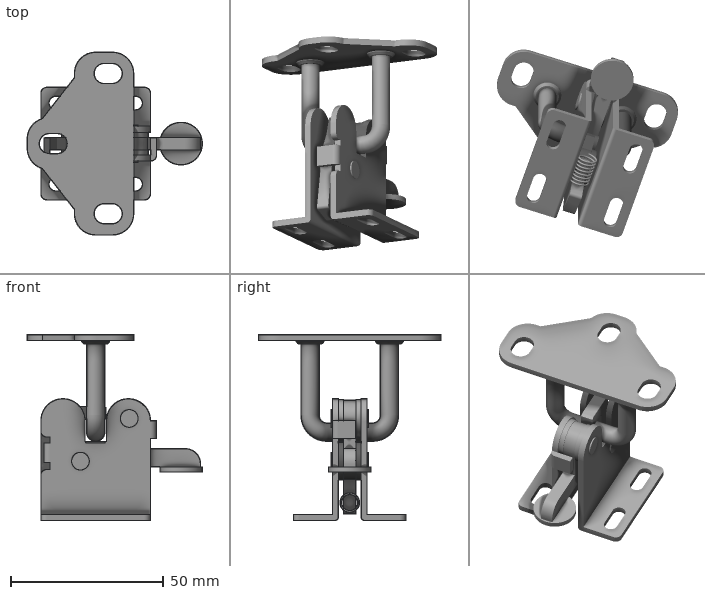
import cadquery as cq
import math


sheet = 2.0
bracket_length = 36.0
bracket_height = 40.0
wall_outer_y = 5.7
wall_inner_y = wall_outer_y - sheet
foot_outer_y = 18.5
foot_corner_radius = 2.0
bend_radius = 1.2
rod_slot_width = 7.0
rod_slot_floor_z = 25.5
rod_slot_chamfer = 0.5
half_length = bracket_length / 2
lobe_radius = (bracket_length - rod_slot_width) / 4
lobe_center_x = half_length - lobe_radius
foot_slot_length = 10.6
foot_slot_width = 4.4
foot_slot_x = 10.0
foot_slot_y = 13.3

tab_tip_y = 1.85
left_tab_outer_x = -17.0
left_tab_bottom_z = 19.0
left_tab_height = 6.5
right_tab_bottom_z = 26.9
right_tab_height = 5.85
tab_bend_share = 0.95
notch_depth = 3.0
notch_bottom_z = 16.8
notch_top_z = 27.4
notch_lip_radius = 2.0

hook_pivot = (-5.0, 19.5)
lever_pivot = (11.0, 33.5)
pin_radius = 2.9
pin_end_y = 6.15
collar_radius = 6.25
hub_radius = 6.0
blade_thickness = 4.1

hook_top_z = 37.5
hook_tip_x = 3.4
hook_tip_bevel_length = 1.0
hook_tip_bevel_drop = 0.45
hook_corner_radius = 1.0
throat_back_x = -3.6
throat_top_z = 33.35
throat_bottom_z = 25.95
throat_radius = 0.8
jaw_tip_x = 4.5
jaw_tip_height = 3.0
hook_heel = (-5.0, 14.0)
tail_inner = (-9.0, 1.9)
tail_outer = (-16.75, 4.7)
hook_back_low = (-12.6, 26.2)
hook_back_high = (-9.8, 31.4)
hook_top_back_x = -7.9

neck_left_x = 7.3
neck_right_x = 17.0
arm_bottom_z = 17.6
arm_top_z = 23.6
arm_end_x = 34.4
arm_end_radius = 5.0
thumb_disc_x = 28.0
thumb_disc_radius = 7.0
thumb_disc_thickness = 1.7

striker_top_z = 61.0
striker_plate_bottom_z = striker_top_z - sheet
striker_right_x = 12.5
striker_left_x = -22.5
striker_half_width = 30.0
striker_corner_radius = 7.0
ear_left_x = -7.0
ear_edge_y = 21.6
nose_half_flat = 1.5
flank_end_x = -17.5
striker_slot_length = 9.15
striker_slot_width = 6.5
ear_slot_x = 4.1
ear_slot_y = 23.0
nose_slot_x = -13.9
rod_radius = 3.0
rod_y = 13.0
rod_bottom_z = 29.0
rod_bend_radius = 5.5
weld_radius = 4.6
weld_height = 1.1
weld_bevel = 0.8

spring_outer_radius = 3.2
spring_wire_radius = 0.3
spring_pitch = 1.2
spring_coils = 8
spring_start_x = -6.0
spring_z = 5.9


def extrude_y(profile, y_low, y_high):
    """Extrude an XZ profile from y_low to y_high."""
    return profile.extrude(y_low - y_high).translate((0, y_low, 0))


def disc_y(center, radius, y_low, y_high):
    """Round disc about a Y axis through the given (x, z) center."""
    return extrude_y(cq.Workplane("XZ").center(*center).circle(radius), y_low, y_high)


def box_between(low, high):
    """Box from its low corner to its high corner."""
    size = [b - a for a, b in zip(low, high)]
    return cq.Workplane("XY").box(*size, centered=False).translate(low)


def round_edge(body, point, radius):
    """Fillet the single edge nearest to a point."""
    return body.edges(cq.selectors.NearestToPointSelector(point)).fillet(radius)


def bracket_wall():
    """Upright wall on the -Y side with two round lobes and the rod slot."""
    lobe_center_z = bracket_height - lobe_radius
    slot_half = rod_slot_width / 2
    profile = (
        cq.Workplane("XZ")
        .moveTo(-half_length, 0)
        .lineTo(-half_length, lobe_center_z)
        .threePointArc((-lobe_center_x, bracket_height), (-slot_half, lobe_center_z))
        .lineTo(-slot_half, rod_slot_floor_z + rod_slot_chamfer)
        .lineTo(-slot_half + rod_slot_chamfer, rod_slot_floor_z)
        .lineTo(slot_half - rod_slot_chamfer, rod_slot_floor_z)
        .lineTo(slot_half, rod_slot_floor_z + rod_slot_chamfer)
        .lineTo(slot_half, lobe_center_z)
        .threePointArc((lobe_center_x, bracket_height), (half_length, lobe_center_z))
        .lineTo(half_length, 0)
        .close()
    )
    return extrude_y(profile, -wall_outer_y, -wall_inner_y)


def bracket_foot():
    """Flat foot on the -Y side with two mounting slots."""
    foot = box_between((-half_length, -foot_outer_y, 0), (half_length, -wall_inner_y, sheet))
    foot = foot.edges("|Z and <Y").fillet(foot_corner_radius)
    slots = (
        cq.Workplane("XY")
        .pushPoints([(-foot_slot_x, -foot_slot_y), (foot_slot_x, -foot_slot_y)])
        .slot2D(foot_slot_length, foot_slot_width)
        .extrude(sheet)
    )
    return foot.cut(slots)


def bracket_plate():
    """Plain bent plate on the -Y side, drilled for both pivots."""
    plate = bracket_wall().union(bracket_foot())
    plate = round_edge(plate, (0, -wall_inner_y, 0), bend_radius)
    for pivot in (hook_pivot, lever_pivot):
        plate = plate.cut(disc_y(pivot, pin_radius, -wall_outer_y, -wall_inner_y))
    return plate


def tab_notch():
    """Notch in the left edge of the wall, around the root of the left tab."""
    root_x = -half_length + notch_depth
    lip = notch_lip_radius
    lip_mid = lip * (1 - math.sqrt(0.5))
    profile = (
        cq.Workplane("XZ")
        .moveTo(-half_length, notch_bottom_z - lip)
        .threePointArc(
            (-half_length + lip_mid, notch_bottom_z - lip_mid),
            (-half_length + lip, notch_bottom_z),
        )
        .lineTo(root_x, notch_bottom_z)
        .lineTo(root_x, notch_top_z)
        .lineTo(-half_length + lip, notch_top_z)
        .threePointArc(
            (-half_length + lip_mid, notch_top_z + lip_mid),
            (-half_length, notch_top_z + lip),
        )
        .close()
    )
    return extrude_y(profile, -wall_outer_y, -wall_inner_y)


def stop_tab(outer_x, root_x, bottom_z, height):
    """Tab bent from the wall edge at root_x toward +Y, rounded outside the bend."""
    low_x, high_x = sorted((outer_x, root_x))
    tab = box_between((low_x, -wall_outer_y, bottom_z), (high_x, tab_tip_y, bottom_z + height))
    bend_edge = (outer_x, -wall_outer_y, bottom_z + height / 2)
    return round_edge(tab, bend_edge, tab_bend_share * abs(outer_x - root_x))


def front_plate():
    """Bracket plate on the -Y side with a stop tab on both edges."""
    left_root_x = -half_length + notch_depth
    left_tab = stop_tab(left_tab_outer_x, left_root_x, left_tab_bottom_z, left_tab_height)
    right_outer_x = half_length + sheet
    right_tab = stop_tab(right_outer_x, half_length, right_tab_bottom_z, right_tab_height)
    return bracket_plate().cut(tab_notch()).union(left_tab).union(right_tab)


def rear_plate():
    """Plain bracket plate on the +Y side."""
    return bracket_plate().mirror("XZ")


def pivot_spool(pivot):
    """Pin through both plates with a hub in the blade and a collar on each side."""
    pin = disc_y(pivot, pin_radius, -pin_end_y, pin_end_y)
    blade_y = blade_thickness / 2
    for y_low, y_high in ((-wall_inner_y, -blade_y), (blade_y, wall_inner_y)):
        pin = pin.union(disc_y(pivot, collar_radius, y_low, y_high))
    return pin.union(disc_y(pivot, hub_radius, -blade_y, blade_y))


def blade(profile):
    """Extrude an XZ profile to blade thickness about the middle plane."""
    return extrude_y(profile, -blade_thickness / 2, blade_thickness / 2)


def hook():
    """Hook blade around the striker rod, with a tail reaching down behind it."""
    outline = [
        (hook_top_back_x, hook_top_z),
        (hook_tip_x - hook_tip_bevel_length, hook_top_z),
        (hook_tip_x, hook_top_z - hook_tip_bevel_drop),
        (hook_tip_x, throat_top_z),
        (throat_back_x, throat_top_z),
        (throat_back_x, throat_bottom_z),
        (jaw_tip_x, throat_bottom_z),
        (jaw_tip_x, throat_bottom_z - jaw_tip_height),
        hook_heel,
        tail_inner,
        tail_outer,
        hook_back_low,
        hook_back_high,
    ]
    body = blade(cq.Workplane("XZ").polyline(outline).close())
    body = round_edge(body, (hook_top_back_x, 0, hook_top_z), hook_corner_radius)
    body = round_edge(body, (tail_outer[0], 0, tail_outer[1]), hook_corner_radius)
    body = round_edge(body, (tail_inner[0], 0, tail_inner[1]), hook_corner_radius)
    body = round_edge(body, (throat_back_x, 0, throat_top_z), throat_radius)
    return body.union(pivot_spool(hook_pivot))


def lever():
    """Release lever: neck below the pivot, horizontal arm and round thumb disc."""
    outline = [
        (neck_left_x, lever_pivot[1]),
        (neck_right_x, lever_pivot[1]),
        (neck_right_x, arm_top_z),
        (arm_end_x, arm_top_z),
        (arm_end_x, arm_bottom_z),
        (neck_left_x, arm_bottom_z),
    ]
    body = blade(cq.Workplane("XZ").polyline(outline).close())
    body = round_edge(body, (arm_end_x, 0, arm_top_z), arm_end_radius)
    disc = (
        cq.Workplane("XY", origin=(thumb_disc_x, 0, arm_bottom_z))
        .circle(thumb_disc_radius)
        .extrude(-thumb_disc_thickness)
    )
    return body.union(disc).union(pivot_spool(lever_pivot))


def striker_plate():
    """Three-eared mounting plate with a slot in each ear."""
    r = striker_corner_radius
    inset = r * (1 - math.sqrt(0.5))
    nose_center_x = striker_left_x + r
    flank_y = nose_half_flat + math.sqrt(r**2 - (flank_end_x - nose_center_x) ** 2)
    nose_mid = (striker_left_x + inset, nose_half_flat + r - inset)
    half = (
        cq.Workplane("XY", origin=(0, 0, striker_plate_bottom_z))
        .moveTo(striker_right_x, 0)
        .lineTo(striker_right_x, striker_half_width - r)
        .threePointArc(
            (striker_right_x - inset, striker_half_width - inset),
            (striker_right_x - r, striker_half_width),
        )
        .lineTo(ear_left_x + r, striker_half_width)
        .threePointArc(
            (ear_left_x + inset, striker_half_width - inset),
            (ear_left_x, striker_half_width - r),
        )
        .lineTo(ear_left_x, ear_edge_y)
        .lineTo(flank_end_x, flank_y)
        .threePointArc(nose_mid, (striker_left_x, nose_half_flat))
        .lineTo(striker_left_x, 0)
        .close()
        .extrude(sheet)
    )
    slots = (
        cq.Workplane("XY", origin=(0, 0, striker_plate_bottom_z))
        .pushPoints([(ear_slot_x, ear_slot_y), (ear_slot_x, -ear_slot_y), (nose_slot_x, 0)])
        .slot2D(striker_slot_length, striker_slot_width)
        .extrude(sheet)
    )
    return half.union(half.mirror("XZ")).clean().cut(slots)


def striker_rod():
    """Round rod bent into a U, hanging from the plate."""
    bend = rod_bend_radius
    bend_mid = bend * (1 - math.sqrt(0.5))
    bend_top_z = rod_bottom_z + bend
    path = (
        cq.Workplane("YZ")
        .moveTo(-rod_y, striker_plate_bottom_z)
        .lineTo(-rod_y, bend_top_z)
        .threePointArc(
            (-rod_y + bend_mid, rod_bottom_z + bend_mid), (-rod_y + bend, rod_bottom_z)
        )
        .lineTo(rod_y - bend, rod_bottom_z)
        .threePointArc((rod_y - bend_mid, rod_bottom_z + bend_mid), (rod_y, bend_top_z))
        .lineTo(rod_y, striker_plate_bottom_z)
    )
    section = cq.Workplane("XY", origin=(0, -rod_y, striker_plate_bottom_z)).circle(rod_radius)
    return section.sweep(path)


def striker():
    """Plate and rod joined by a bevelled weld collar around each rod end."""
    body = striker_plate().union(striker_rod())
    for y in (-rod_y, rod_y):
        weld = (
            cq.Workplane("XY", origin=(0, y, striker_plate_bottom_z))
            .circle(weld_radius)
            .extrude(-weld_height)
            .faces("<Z")
            .chamfer(weld_bevel)
        )
        body = body.union(weld)
    return body


def spring():
    """Coil spring along X between the hook tail and the lever side."""
    coil_radius = spring_outer_radius - spring_wire_radius
    start = cq.Vector(spring_start_x, 0, spring_z)
    helix = cq.Wire.makeHelix(
        spring_pitch, spring_pitch * spring_coils, coil_radius, start, cq.Vector(1, 0, 0)
    )
    wire_plane = cq.Plane(origin=helix.startPoint(), normal=helix.tangentAt(0))
    wire_section = cq.Workplane(wire_plane).circle(spring_wire_radius)
    return wire_section.sweep(cq.Workplane(helix), isFrenet=True)


bodies = [front_plate(), rear_plate(), hook(), lever(), striker(), spring()]
result = cq.Compound.makeCompound([body.solids().val() for body in bodies])